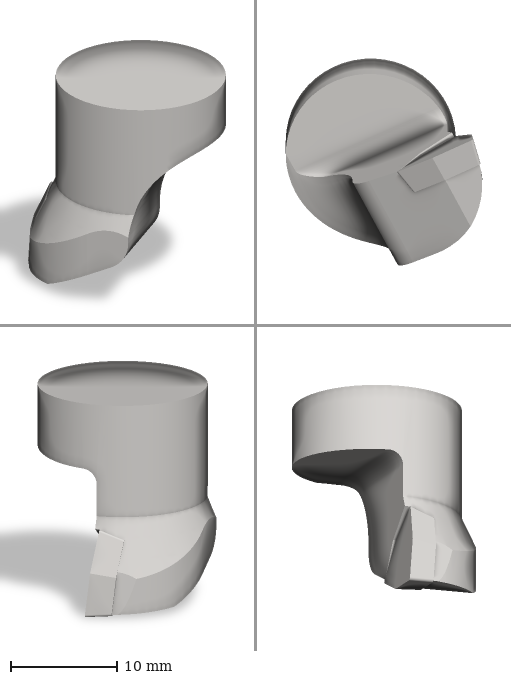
import cadquery as cq
import math

HEIGHT = 20.0
SHANK_DIAMETER = 16.0
SHANK_RADIUS = SHANK_DIAMETER / 2
SHANK_BOTTOM_Z = 9.15

FLARE_PER_DROP = 0.46
HEAD_FLAT_Y = -8.7
HEAD_SIDE_RADIUS = 8.2
HEAD_SIDE_CENTER_X = -2.3
HEAD_SIDE_CENTER_Y = HEAD_FLAT_Y + HEAD_SIDE_RADIUS
HEAD_HEEL_RADIUS = 3.0
HEAD_RIGHT_X = 1.8
HEEL_CENTER_Z = 6.6
TOE_X = -6.65
TOE_Z = 0.65
UNDERSIDE_SLOPE = 25.5
TIP_SLOPE = 5.0

FACET_POINT = (-9.35, -4.72, 3.9)
FACET_LEAN_Y = 0.25
FACET_LEAN_Z = 0.09

SCALLOP_RADIUS = 8.0
SCALLOP_CENTER_X = HEAD_RIGHT_X + SCALLOP_RADIUS
SCALLOP_CENTER_Z = 7.2

FLUTE_FACE_Y = 0.2
FLUTE_ROOF_Z = 14.2
FLUTE_CORNER_RADIUS = 1.4
FLUTE_TURN = 2.7
FLUTE_RISE = 4.0

INSERT_CENTER = (-7.45, -0.18, 3.42)
INSERT_SHARP_RADIUS = 4.9
INSERT_BLUNT_RADIUS = 3.18
INSERT_NOSE_RADIUS = 0.25
INSERT_THICKNESS = 2.45
INSERT_RELIEF = 9.0
INSERT_TIP_ANGLE = -45.0
INSERT_NORMAL = (-0.04, 1.0, 0.1)

REACH = 30.0


def head_plan():
    """Vertical prism: rounded -X side running into a flat -Y side."""
    left = HEAD_SIDE_CENTER_X - HEAD_SIDE_RADIUS
    diagonal = HEAD_SIDE_RADIUS * math.sqrt(0.5)
    return (
        cq.Workplane("XY")
        .moveTo(left, SHANK_RADIUS)
        .lineTo(left, HEAD_SIDE_CENTER_Y)
        .threePointArc(
            (HEAD_SIDE_CENTER_X - diagonal, HEAD_SIDE_CENTER_Y - diagonal),
            (HEAD_SIDE_CENTER_X, HEAD_FLAT_Y),
        )
        .lineTo(SHANK_RADIUS, HEAD_FLAT_Y)
        .lineTo(SHANK_RADIUS, SHANK_RADIUS)
        .close()
        .extrude(SHANK_BOTTOM_Z)
    )


def head_front_outline():
    """Prism along Y: sloped underside and rounded heel."""
    slope = math.radians(UNDERSIDE_SLOPE)
    left = -REACH / 2
    heel_center_x = HEAD_RIGHT_X - HEAD_HEEL_RADIUS

    def heel_point(angle):
        return (
            heel_center_x + HEAD_HEEL_RADIUS * math.cos(angle),
            HEEL_CENTER_Z + HEAD_HEEL_RADIUS * math.sin(angle),
        )

    heel_start = slope - math.pi / 2
    return (
        cq.Workplane("XZ")
        .moveTo(left, SHANK_BOTTOM_Z)
        .lineTo(left, TOE_Z + (left - TOE_X) * math.tan(math.radians(TIP_SLOPE)))
        .lineTo(TOE_X, TOE_Z)
        .lineTo(*heel_point(heel_start))
        .threePointArc(heel_point(heel_start / 2), heel_point(0))
        .lineTo(HEAD_RIGHT_X, SCALLOP_CENTER_Z)
        .lineTo(SHANK_RADIUS, SCALLOP_CENTER_Z)
        .lineTo(SHANK_RADIUS, SHANK_BOTTOM_Z)
        .close()
        .extrude(REACH / 2, both=True)
    )


def facet_cutter():
    """Half space outside the leaning relief facet."""
    facet = cq.Plane(
        origin=FACET_POINT,
        xDir=(-FACET_LEAN_Y, 1, 0),
        normal=(-1, -FACET_LEAN_Y, FACET_LEAN_Z),
    )
    return cq.Workplane(facet).rect(REACH, REACH).extrude(REACH)


def head():
    flare_radius = SHANK_RADIUS + FLARE_PER_DROP * SHANK_BOTTOM_Z
    cone = cq.Workplane(
        cq.Solid.makeCone(flare_radius, SHANK_RADIUS, SHANK_BOTTOM_Z)
    )
    return cone.intersect(head_plan()).intersect(head_front_outline()).cut(facet_cutter())


def scallop():
    return (
        cq.Workplane("XZ")
        .center(SCALLOP_CENTER_X, SCALLOP_CENTER_Z)
        .circle(SCALLOP_RADIUS)
        .extrude(REACH / 2, both=True)
    )


def flute():
    """Box with one rounded corner, turned and tilted about its top corner."""
    pivot = cq.Vector(0, FLUTE_FACE_Y, FLUTE_ROOF_Z)
    return (
        cq.Workplane("XY")
        .box(REACH, REACH, REACH, centered=(True, False, False))
        .translate((0, 0, -REACH))
        .edges("|X and <Y and >Z")
        .fillet(FLUTE_CORNER_RADIUS)
        .rotate((0, 0, 0), (0, 1, 0), -FLUTE_RISE)
        .rotate((0, 0, 0), (0, 0, 1), FLUTE_TURN)
        .translate(pivot)
    )


def insert_outline():
    """Trigon outline in the plane of the cutting face."""
    plane = cq.Plane(
        origin=INSERT_CENTER,
        xDir=(-1, INSERT_NORMAL[0], 0),
        normal=INSERT_NORMAL,
    )
    points = []
    for corner in range(6):
        radius = INSERT_BLUNT_RADIUS if corner % 2 else INSERT_SHARP_RADIUS
        angle = math.radians(INSERT_TIP_ANGLE + 60 * corner)
        points.append((radius * math.cos(angle), radius * math.sin(angle)))
    return cq.Workplane(plane).polyline(points).close()


def make_insert():
    """Trigon that narrows away from its cutting face, with rounded sharp corners."""
    blank = insert_outline().extrude(-INSERT_THICKNESS, taper=INSERT_RELIEF)
    middle = cq.Vector(*INSERT_CENTER) - cq.Vector(*INSERT_NORMAL) * (INSERT_THICKNESS / 2)
    nose_distance = (INSERT_SHARP_RADIUS + INSERT_BLUNT_RADIUS) / 2
    noses = blank.edges().filter(
        lambda edge: (edge.Center() - middle).Length > nose_distance
    )
    return noses.fillet(INSERT_NOSE_RADIUS)


def make_holder(insert):
    shank = (
        cq.Workplane("XY", origin=(0, 0, SHANK_BOTTOM_Z))
        .circle(SHANK_RADIUS)
        .extrude(HEIGHT - SHANK_BOTTOM_Z)
    )
    clearance = insert_outline().extrude(SHANK_RADIUS)
    return (
        shank.union(head())
        .cut(scallop())
        .cut(flute())
        .cut(clearance)
        .cut(insert)
    )


insert = make_insert()
holder = make_holder(insert)
result = cq.Compound.makeCompound([holder.solids().val(), insert.solids().val()])